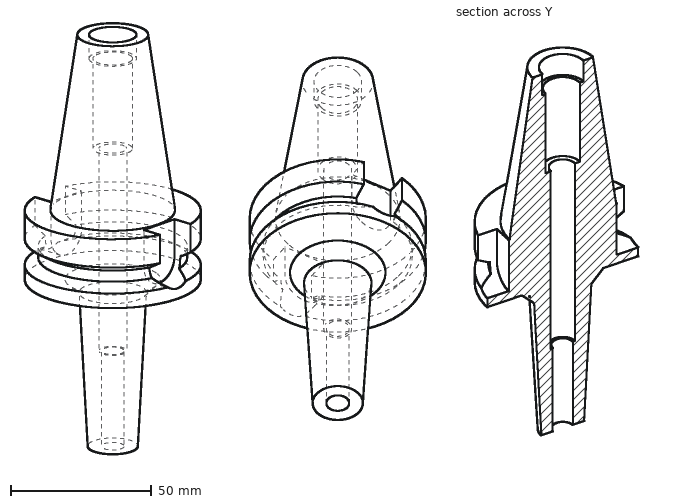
import cadquery as cq
import math


gauge_diameter = 44.45
shank_length = 65.4
taper_ratio = 7 / 24
shank_end_radius = (gauge_diameter - shank_length * taper_ratio) / 2
gauge_radius = gauge_diameter / 2

flange_radius = 63 / 2
flange_top = -1.0
flange_bottom = -27.0
groove_centre = -16.6
groove_floor_radius = 53.3 / 2
groove_floor_width = 4.2
groove_wall_angle = 30
groove_wall_height = (flange_radius - groove_floor_radius) * math.tan(math.radians(groove_wall_angle))
groove_floor_top = groove_centre + groove_floor_width / 2
groove_floor_bottom = groove_centre - groove_floor_width / 2

nose_end = -90.0
nose_end_radius = 18 / 2
nose_half_angle = 3
flare_height = 5.0
flare_half_angle = 45
flare_bottom = flange_bottom - flare_height
nose_root_radius = nose_end_radius + (flare_bottom - nose_end) * math.tan(math.radians(nose_half_angle))
flare_top_radius = nose_root_radius + flare_height * math.tan(math.radians(flare_half_angle))

slot_width = 16.1
slot_floor_distance = 22.6
slot_bottom = -23.0

counterbore_diameter = 17.0
counterbore_depth = 9.0
thread_bore_diameter = 14.2
thread_bore_depth = 43.0
relief_bore_diameter = 10.0
clamping_bore_length = 36.0
clamping_bore_diameter = 8.2


def holder_body():
    """Shank, flange and nose as one solid of revolution."""
    return (
        cq.Workplane("XZ")
        .moveTo(0, shank_length)
        .lineTo(shank_end_radius, shank_length)
        .lineTo(gauge_radius, 0)
        .lineTo(gauge_radius, flange_top)
        .lineTo(flange_radius, flange_top)
        .lineTo(flange_radius, groove_floor_top + groove_wall_height)
        .lineTo(groove_floor_radius, groove_floor_top)
        .lineTo(groove_floor_radius, groove_floor_bottom)
        .lineTo(flange_radius, groove_floor_bottom - groove_wall_height)
        .lineTo(flange_radius, flange_bottom)
        .lineTo(flare_top_radius, flange_bottom)
        .lineTo(nose_root_radius, flare_bottom)
        .lineTo(nose_end_radius, nose_end)
        .lineTo(0, nose_end)
        .close()
        .revolve(360, (0, 0, 0), (0, 1, 0))
    )


def drive_slot(side):
    """Cutter for one round-bottomed drive slot; side is +1 for +X, -1 for -X."""
    half_width = slot_width / 2
    round_centre = slot_bottom + half_width
    return (
        cq.Workplane("YZ", origin=(side * slot_floor_distance, 0, 0))
        .moveTo(-half_width, 0)
        .lineTo(-half_width, round_centre)
        .threePointArc((0, slot_bottom), (half_width, round_centre))
        .lineTo(half_width, 0)
        .close()
        .extrude(side * flange_radius)
    )


def bore_step(diameter, top, bottom):
    """Cutter for one cylindrical stretch of the bore."""
    return cq.Workplane("XY", origin=(0, 0, bottom)).circle(diameter / 2).extrude(top - bottom)


def stepped_bore():
    """Cutter for the whole bore, narrowing downwards."""
    counterbore_floor = shank_length - counterbore_depth
    thread_bore_floor = shank_length - thread_bore_depth
    clamping_bore_top = nose_end + clamping_bore_length
    return (
        bore_step(counterbore_diameter, shank_length, counterbore_floor)
        .union(bore_step(thread_bore_diameter, counterbore_floor, thread_bore_floor))
        .union(bore_step(relief_bore_diameter, thread_bore_floor, clamping_bore_top))
        .union(bore_step(clamping_bore_diameter, clamping_bore_top, nose_end))
    )


result = holder_body().cut(stepped_bore())
for side in (-1, 1):
    result = result.cut(drive_slot(side))